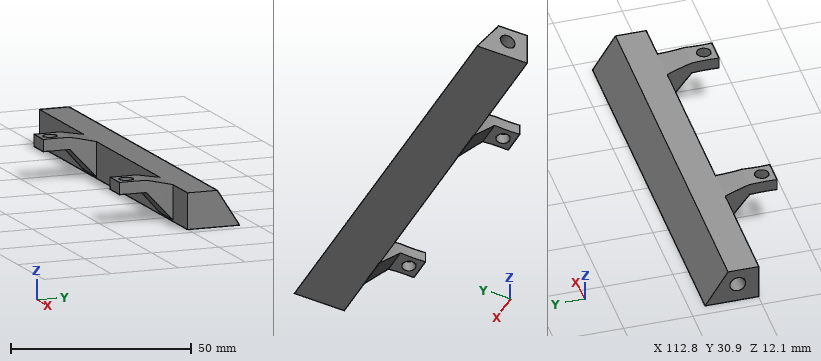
import cadquery as cq

bar_length = 112.8
bar_height = 10.5
bar_base_depth = 15.6
bar_top_depth = 8.9

end_hole_diameter = 4.5
end_hole_depth = 22.6
end_hole_setback = 6.1
end_hole_height = 5.6

overall_depth = 30.9
first_arm_x = 38.6
arm_spacing = 58.1
arm_top = 12.1
root_bottom = 0.5
root_half_width = 5.0
waist_half_width = 3.5
tip_half_width = 3.6

tab_length = 7.9
tab_thickness = 3.5
tab_hole_diameter = 4.0
tab_hole_from_tip = 3.4

tip_y = bar_base_depth - overall_depth
tab_start_y = tip_y + tab_length
tab_hole_y = tip_y + tab_hole_from_tip
tab_bottom = arm_top - tab_thickness


def make_bar():
    """Bar with its front face at Y = 0 and its underside at Z = 0."""
    return (
        cq.Workplane("YZ")
        .polyline([(0, 0), (bar_base_depth, 0), (bar_top_depth, bar_height), (0, bar_height)])
        .close()
        .extrude(bar_length)
    )


def make_end_hole():
    return (
        cq.Workplane("YZ")
        .center(end_hole_setback, end_hole_height)
        .circle(end_hole_diameter / 2)
        .extrude(end_hole_depth)
    )


def make_arm():
    """Arm centred on X = 0: a bent side profile trimmed by concave arc sides."""
    side_profile = (
        cq.Workplane("YZ")
        .polyline([
            (0, root_bottom),
            (0, bar_height),
            (tab_start_y, arm_top),
            (tip_y, arm_top),
            (tip_y, tab_bottom),
            (tab_start_y, tab_bottom),
        ])
        .close()
        .extrude(root_half_width, both=True)
    )
    plan_outline = (
        cq.Workplane("XY")
        .moveTo(root_half_width, 0)
        .threePointArc((waist_half_width, tab_hole_y), (tip_half_width, tip_y))
        .lineTo(-tip_half_width, tip_y)
        .threePointArc((-waist_half_width, tab_hole_y), (-root_half_width, 0))
        .close()
        .extrude(arm_top)
    )
    hole = (
        cq.Workplane("XY")
        .center(0, tab_hole_y)
        .circle(tab_hole_diameter / 2)
        .extrude(arm_top)
    )
    return side_profile.intersect(plan_outline).cut(hole)


result = make_bar().cut(make_end_hole())
arm = make_arm()
for arm_x in (first_arm_x, first_arm_x + arm_spacing):
    result = result.union(arm.translate((arm_x, 0, 0)))